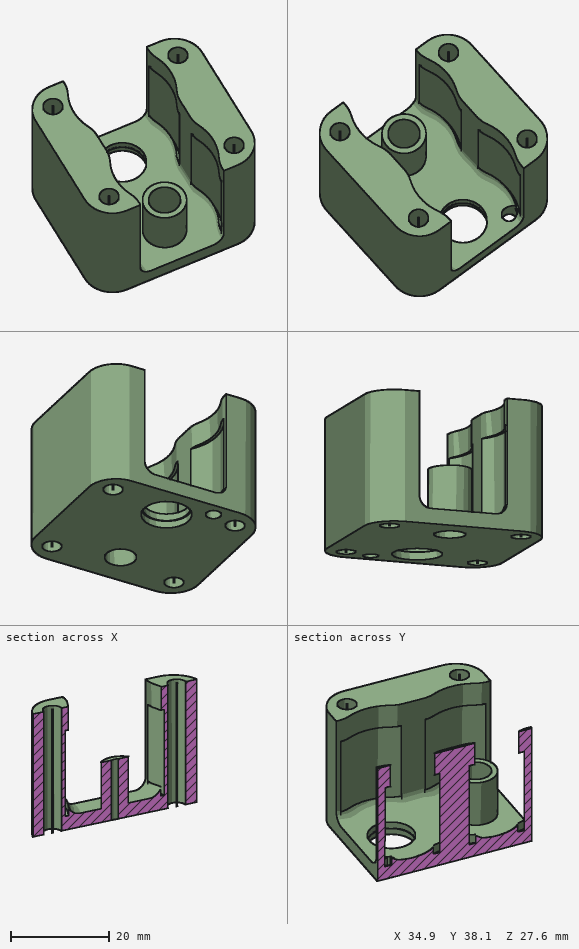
import cadquery as cq
import math

LENGTH = 34.925
WIDTH = 38.1
HEIGHT = 27.55
CORNER_RADIUS = 6.35
FLOOR_THICKNESS = 3.175

AXIS_X = 9.525
CHANNEL_HALF_WIDTH = 9.525
BULGE_RADIUS = 11.1125
BLEND_RADIUS = 6.35
CHANNEL_FILLET = 2.54
CHANNEL_OVERRUN = 5.0

UNDERCUT_RADIUS = 11.74
TOP_BAND_HEIGHT = 5.3
UNDERCUT_TOP = HEIGHT - TOP_BAND_HEIGHT
LIP_INSET = 0.05

CORNER_HOLE_X = 12.7
CORNER_HOLE_Y = 14.2875
CORNER_HOLE_DIAMETER = 4.0
PIN_DIAMETER = 0.31

OPENING_DIAMETER = 9.8
RECESS_DIAMETER = 10.29
RECESS_DEPTH = FLOOR_THICKNESS / 2

BOSS_DIAMETER = 9.0
BOSS_BORE = 6.5
BOSS_TOP = 13.5

SIDE_HOLE_X = -14.2875
SIDE_HOLE_Y = -8.33
SIDE_HOLE_DIAMETER = 3.17

BLEND_CENTER_Y = CHANNEL_HALF_WIDTH + BLEND_RADIUS
BLEND_ANGLE = math.acos(BLEND_CENTER_Y / (BULGE_RADIUS + BLEND_RADIUS))
BLEND_CENTER_X = (BULGE_RADIUS + BLEND_RADIUS) * math.sin(BLEND_ANGLE)


def bulge_point(angle, inset):
    """Point on the bulge arc, `angle` away from +Y, measured from the bulge axis."""
    radius = BULGE_RADIUS - inset
    return radius * math.sin(angle), radius * math.cos(angle)


def blend_point(angle, inset):
    """Point on the blend arc on the +X side of the bulge, `angle` away from -Y."""
    radius = BLEND_RADIUS + inset
    return BLEND_CENTER_X - radius * math.sin(angle), BLEND_CENTER_Y - radius * math.cos(angle)


def add_bulge(path, axis_x, side, inset):
    """Extend a wall path by one bulge; `side` is 1 for the +Y wall and -1 for the -Y wall.

    The +Y wall is followed toward +X and the -Y wall toward -X.
    """

    def placed(point, end):
        return axis_x + side * end * point[0], side * point[1]

    blend_start = blend_point(0, inset)
    blend_middle = blend_point(BLEND_ANGLE / 2, inset)
    bulge_end = bulge_point(BLEND_ANGLE, inset)
    bulge_peak = bulge_point(0, inset)
    return (
        path.lineTo(*placed(blend_start, -1))
        .threePointArc(placed(blend_middle, -1), placed(bulge_end, -1))
        .threePointArc(placed(bulge_peak, 1), placed(bulge_end, 1))
        .threePointArc(placed(blend_middle, 1), placed(blend_start, 1))
    )


def channel_prism(inset=0.0):
    """Space between the two walls, above the floor, with both walls moved inward by `inset`."""
    end_x = LENGTH / 2 + CHANNEL_OVERRUN
    half_width = CHANNEL_HALF_WIDTH - inset
    path = cq.Workplane("XY", origin=(0, 0, FLOOR_THICKNESS)).moveTo(-end_x, half_width)
    for axis_x in (-AXIS_X, AXIS_X):
        path = add_bulge(path, axis_x, 1, inset)
    path = path.lineTo(end_x, half_width).lineTo(end_x, -half_width)
    for axis_x in (AXIS_X, -AXIS_X):
        path = add_bulge(path, axis_x, -1, inset)
    path = path.lineTo(-end_x, -half_width).close()
    return path.extrude(HEIGHT - FLOOR_THICKNESS)


def make_channel():
    """Solid removed to form the channel, rounded along the foot of both walls."""
    return channel_prism().faces("<Z").edges("not(<X or >X)").fillet(CHANNEL_FILLET)


def make_undercut(axis_x):
    """Solid removed behind the bulges on one axis, below their top bands."""
    disc = (
        cq.Workplane("XY", origin=(axis_x, 0, FLOOR_THICKNESS))
        .circle(UNDERCUT_RADIUS)
        .extrude(UNDERCUT_TOP - FLOOR_THICKNESS)
    )
    return disc.cut(channel_prism(LIP_INSET))


def cylinder(x, y, diameter, height):
    """Upright cylinder standing on the underside plane of the housing."""
    return cq.Workplane("XY").center(x, y).circle(diameter / 2).extrude(height)


CORNERS = [(x, y) for x in (-CORNER_HOLE_X, CORNER_HOLE_X) for y in (-CORNER_HOLE_Y, CORNER_HOLE_Y)]


def make_housing():
    block = cq.Workplane("XY").box(LENGTH, WIDTH, HEIGHT, centered=(True, True, False))
    housing = block.edges("|Z").fillet(CORNER_RADIUS).cut(make_channel())

    for axis_x in (-AXIS_X, AXIS_X):
        housing = housing.cut(make_undercut(axis_x))

    housing = housing.union(cylinder(AXIS_X, 0, BOSS_DIAMETER, BOSS_TOP))
    housing = housing.cut(cylinder(AXIS_X, 0, BOSS_BORE, BOSS_TOP))

    housing = housing.cut(cylinder(-AXIS_X, 0, OPENING_DIAMETER, FLOOR_THICKNESS))
    housing = housing.cut(cylinder(-AXIS_X, 0, RECESS_DIAMETER, RECESS_DEPTH))

    housing = housing.cut(cylinder(SIDE_HOLE_X, SIDE_HOLE_Y, SIDE_HOLE_DIAMETER, HEIGHT))

    for x, y in CORNERS:
        housing = housing.cut(cylinder(x, y, CORNER_HOLE_DIAMETER, HEIGHT))
    return housing


def make_pin(x, y):
    return cylinder(x, y, PIN_DIAMETER, HEIGHT)


housing = make_housing()
pins = [make_pin(x, y) for x, y in CORNERS]

result = cq.Compound.makeCompound([housing.solids().val(), *[pin.val() for pin in pins]])